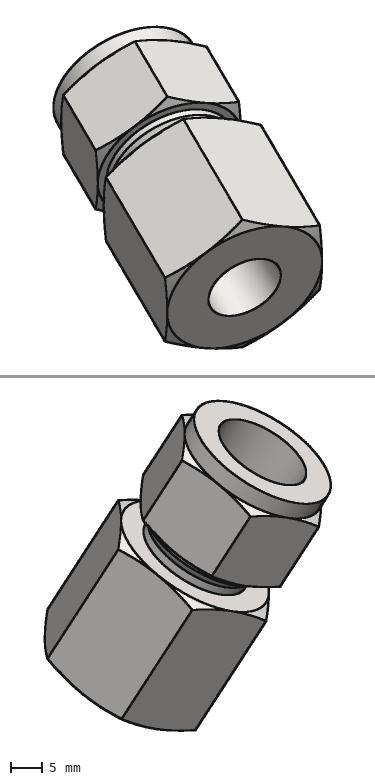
import cadquery as cq
import math

total_length = 46.9
collar_end = 3.1
nut_end = 17.45
shoulder_end = 18.7
cone_end = 20.45
body_start = 22.0

nut_flats = 25.0
body_flats = 27.0
corner_chamfer_slope = 0.43

collar_diameter = nut_flats
shoulder_diameter = 22.05
neck_diameter = 18.85

socket_diameter = 16.0
socket_depth = body_start
through_diameter = 12.6


def revolve_about_axis(profile_points):
    """Revolve a closed (x, radius) profile about the X axis."""
    return cq.Workplane("XY").polyline(profile_points).close().revolve(360, (0, 0, 0), (1, 0, 0))


def cylinder(x_start, x_end, diameter):
    """Round bar along X."""
    return cq.Workplane("YZ", origin=(x_start, 0, 0)).circle(diameter / 2).extrude(x_end - x_start)


def chamfered_hexagon(x_start, x_end, flats):
    """Hexagonal bar along X, corners up and down, with conical corner chamfers at both ends."""
    face_radius = flats / 2
    corner_radius = face_radius / math.cos(math.radians(30))
    chamfer_length = (corner_radius - face_radius) * corner_chamfer_slope
    hexagon = (
        cq.Workplane("YZ", origin=(x_start, 0, 0))
        .transformed(rotate=(0, 0, 90))
        .polygon(6, 2 * corner_radius)
        .extrude(x_end - x_start)
    )
    envelope = revolve_about_axis([
        (x_start, 0),
        (x_start, face_radius),
        (x_start + chamfer_length, corner_radius),
        (x_end - chamfer_length, corner_radius),
        (x_end, face_radius),
        (x_end, 0),
    ])
    return hexagon.intersect(envelope)


collar = cylinder(0, collar_end, collar_diameter)
nut = chamfered_hexagon(collar_end, nut_end, nut_flats)

neck = revolve_about_axis([
    (nut_end, 0),
    (nut_end, shoulder_diameter / 2),
    (shoulder_end, shoulder_diameter / 2),
    (cone_end, neck_diameter / 2),
    (body_start, neck_diameter / 2),
    (body_start, 0),
])

body = chamfered_hexagon(body_start, total_length, body_flats)

socket = cylinder(0, socket_depth, socket_diameter)
through_hole = cylinder(0, total_length, through_diameter)

result = collar.union(nut).union(neck).union(body).cut(socket).cut(through_hole)